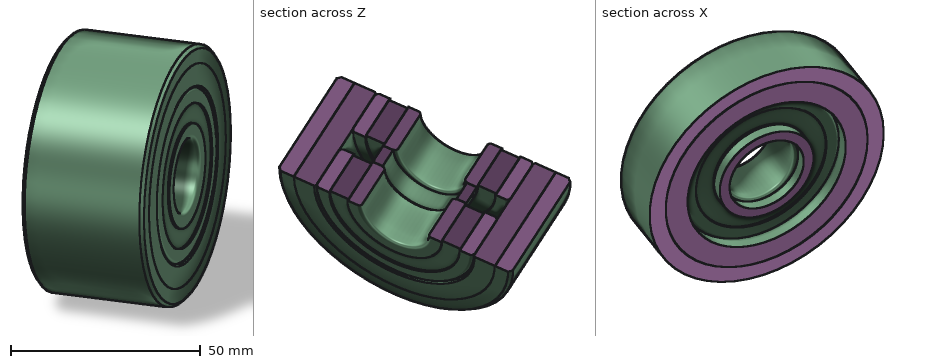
import cadquery as cq

width = 34.0
tyre_radius = 35.0
tyre_chamfer = 1.0

hub_radius = 30.0
hub_bore_chamfer = 0.5

bearing_width = 14.0
bearing_radius = 23.5
bearing_bore_radius = 10.0
bearing_fillet = 1.0
outer_ring_inner_radius = 19.45
inner_ring_outer_radius = 14.1
seal_recess = 0.5

spacer_radius = inner_ring_outer_radius
spacer_bore_radius = bearing_bore_radius + bearing_fillet
spacer_width = width - 2 * bearing_width

bearing_offset = (width - bearing_width) / 2


def ring(outer_radius, inner_radius, length):
    """Plain ring on the X axis, centred on the origin."""
    return (
        cq.Workplane("YZ", origin=(-length / 2, 0, 0))
        .circle(outer_radius)
        .circle(inner_radius)
        .extrude(length)
    )


def make_tyre():
    tyre = ring(tyre_radius, hub_radius, width)
    return tyre.faces("<X or >X").edges(cq.selectors.RadiusNthSelector(-1)).chamfer(tyre_chamfer)


def make_hub():
    hub = ring(hub_radius, bearing_radius, width)
    return hub.faces("<X or >X").edges(cq.selectors.RadiusNthSelector(0)).chamfer(hub_bore_chamfer)


def make_spacer():
    return ring(spacer_radius, spacer_bore_radius, spacer_width)


def make_outer_ring():
    outer_ring = ring(bearing_radius, outer_ring_inner_radius, bearing_width)
    return outer_ring.faces("<X or >X").edges(cq.selectors.RadiusNthSelector(-1)).fillet(bearing_fillet)


def make_inner_ring():
    inner_ring = ring(inner_ring_outer_radius, bearing_bore_radius, bearing_width)
    return inner_ring.faces("<X or >X").edges(cq.selectors.RadiusNthSelector(0)).fillet(bearing_fillet)


def make_seal():
    """Seal filling the space between the rings, set back from both bearing faces."""
    return ring(outer_ring_inner_radius, inner_ring_outer_radius, bearing_width - 2 * seal_recess)


tyre = make_tyre()
hub = make_hub()
spacer = make_spacer()

bearing_parts = []
for offset in (-bearing_offset, bearing_offset):
    for part in (make_outer_ring(), make_inner_ring(), make_seal()):
        bearing_parts.append(part.translate((offset, 0, 0)).val())

result = cq.Compound.makeCompound([tyre.val(), hub.val(), spacer.val(), *bearing_parts])